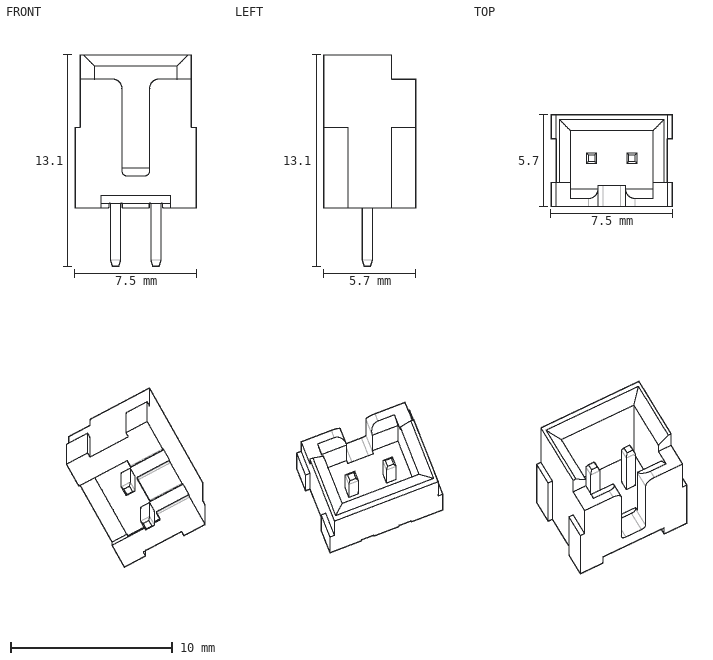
import cadquery as cq


body_width = 6.9
body_depth = 5.7
body_height = 9.5
pin_to_front = 3.0
front_y = -pin_to_front
back_y = front_y + body_depth

side_wall = 0.9
back_wall = 1.0
front_wall = 1.1
floor_z = 2.5
lead_in = 0.7
cavity_width = body_width - 2 * side_wall
cavity_front_y = front_y + front_wall
cavity_back_y = back_y - back_wall

front_wall_height = 8.0
front_step_depth = 1.5
front_rim = 0.5
front_lead_in = front_wall - front_rim

slot_width = 1.7
slot_depth = 1.3
slot_bottom_z = 2.0
slot_top_radius = 0.6
slot_bottom_radius = 0.3

pad_thickness = 0.3
pad_depth = 1.5
pad_height = 5.0

relief_width = 4.3
front_relief_height = 0.8
front_relief_depth = front_wall
pin_relief_height = 0.3
channel_width = 0.8
channel_edge_radius = 0.1

pin_pitch = 2.5
pin_size = 0.64
pin_bottom_z = -3.6
pin_top_z = 7.0
pin_taper_length = 0.38
pin_tip_size = 0.4
pin_positions = (-pin_pitch / 2, pin_pitch / 2)


def block(width, y_min, y_max, z_min, z_max):
    """Axis-aligned box, symmetric about X = 0."""
    box = cq.Workplane("XY").box(width, y_max - y_min, z_max - z_min, centered=(True, False, False))
    return box.translate((0, y_min, z_min))


def housing_shell():
    """Outer block with corner pads and the plug cavity."""
    shell = block(body_width, front_y, back_y, 0, body_height)
    padded_width = body_width + 2 * pad_thickness
    for pad_y in (front_y, back_y - pad_depth):
        shell = shell.union(block(padded_width, pad_y, pad_y + pad_depth, 0, pad_height))
    return shell.cut(block(cavity_width, cavity_front_y, cavity_back_y, floor_z, body_height))


def rim_lead_in():
    """45 degree flare around the sides and back of the cavity mouth, open to the front."""
    half_width = cavity_width / 2
    flare_z = body_height - lead_in
    flare = (
        cq.Workplane("XZ", origin=(0, front_y, 0))
        .moveTo(-half_width, flare_z)
        .lineTo(half_width, flare_z)
        .lineTo(half_width + lead_in, body_height)
        .lineTo(-half_width - lead_in, body_height)
        .close()
        .extrude(-(cavity_back_y + lead_in - front_y))
    )
    back_limit = (
        cq.Workplane("YZ")
        .moveTo(front_y, flare_z)
        .lineTo(cavity_back_y, flare_z)
        .lineTo(cavity_back_y + lead_in, body_height)
        .lineTo(front_y, body_height)
        .close()
        .extrude(body_width / 2, both=True)
    )
    return flare.intersect(back_limit)


def front_wall_lead_in():
    """Chamfer along the inner top edge of the low front wall."""
    return (
        cq.Workplane("YZ")
        .moveTo(cavity_front_y, front_wall_height)
        .lineTo(cavity_front_y - front_lead_in, front_wall_height)
        .lineTo(cavity_front_y, front_wall_height - front_lead_in)
        .close()
        .extrude(cavity_width / 2, both=True)
    )


def latch_slot():
    """Open slot with flared top corners and rounded bottom corners."""
    half_width = slot_width / 2
    flare_start_z = front_wall_height - slot_top_radius
    round_end_z = slot_bottom_z + slot_bottom_radius
    return (
        cq.Workplane("XZ", origin=(0, front_y, 0))
        .moveTo(-half_width - slot_top_radius, front_wall_height)
        .radiusArc((-half_width, flare_start_z), slot_top_radius)
        .lineTo(-half_width, round_end_z)
        .radiusArc((-half_width + slot_bottom_radius, slot_bottom_z), -slot_bottom_radius)
        .lineTo(half_width - slot_bottom_radius, slot_bottom_z)
        .radiusArc((half_width, round_end_z), -slot_bottom_radius)
        .lineTo(half_width, flare_start_z)
        .radiusArc((half_width + slot_top_radius, front_wall_height), slot_top_radius)
        .close()
        .extrude(-slot_depth)
    )


def rear_channel(x_center):
    """Shallow channel from the pin row to the back face, with rounded lower edges."""
    half_width = channel_width / 2
    radius = channel_edge_radius
    return (
        cq.Workplane("XZ", origin=(x_center, 0, 0))
        .moveTo(-half_width - radius, 0)
        .radiusArc((-half_width, radius), -radius)
        .lineTo(-half_width, pin_relief_height)
        .lineTo(half_width, pin_relief_height)
        .lineTo(half_width, radius)
        .radiusArc((half_width + radius, 0), -radius)
        .close()
        .extrude(-back_y)
    )


def underside_relief():
    """Front notch, shallow pocket under the pins and one rear channel per pin."""
    pocket_back_y = channel_width / 2
    relief = block(relief_width, front_y, front_y + front_relief_depth, 0, front_relief_height)
    relief = relief.union(block(relief_width, front_y, pocket_back_y, 0, pin_relief_height))
    for x in pin_positions:
        relief = relief.union(rear_channel(x))
    return relief


def pin(x_center):
    """Square pin with tapered ends."""
    half_size = pin_size / 2
    shank_bottom_z = pin_bottom_z + pin_taper_length
    shank_top_z = pin_top_z - pin_taper_length
    shank = block(pin_size, -half_size, half_size, shank_bottom_z, shank_top_z)

    def tip(shank_z, length):
        return (
            cq.Workplane("XY", origin=(0, 0, shank_z))
            .rect(pin_size, pin_size)
            .workplane(offset=length)
            .rect(pin_tip_size, pin_tip_size)
            .loft(ruled=True)
        )

    top_tip = tip(shank_top_z, pin_taper_length)
    bottom_tip = tip(shank_bottom_z, -pin_taper_length)
    return shank.union(top_tip).union(bottom_tip).translate((x_center, 0, 0))


housing = housing_shell().cut(rim_lead_in())
front_step_back_y = front_y + front_step_depth
housing = housing.cut(block(body_width, front_y, front_step_back_y, front_wall_height, body_height))
housing = housing.cut(front_wall_lead_in())
housing = housing.cut(latch_slot())
housing = housing.cut(underside_relief())

result = housing
for pin_x in pin_positions:
    result = result.union(pin(pin_x))